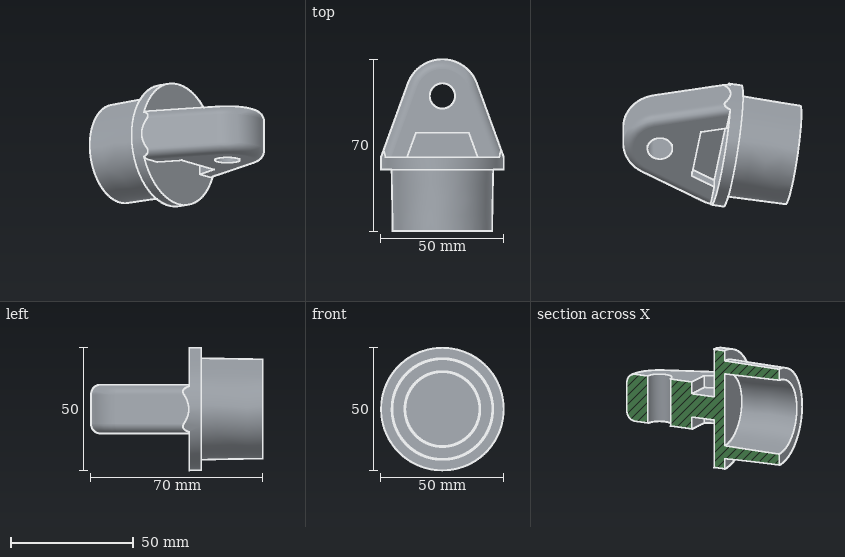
import cadquery as cq
import math

flange_diameter = 50.0
flange_thickness = 5.0

spigot_length = 25.0
spigot_root_diameter = 41.5
bore_floor_diameter = 30.1
bore_depth = spigot_length
draft_angle = math.radians(1.0)

lug_thickness = 20.0
lug_tip_radius = 15.0
lug_eye_height = 25.0
lug_eye_diameter = 10.2
lug_side_angle = math.radians(20.0)
lug_fillet = 4.0

recess_inset = 10.0
recess_height = 10.0
recess_depth = 5.0

flange_radius = flange_diameter / 2
spigot_end_y = -flange_thickness - spigot_length
spigot_root_radius = spigot_root_diameter / 2
spigot_end_radius = spigot_root_radius - spigot_length * math.tan(draft_angle)
bore_floor_y = spigot_end_y + bore_depth
bore_floor_radius = bore_floor_diameter / 2
bore_mouth_radius = bore_floor_radius + bore_depth * math.tan(draft_angle)
tangent_x = lug_tip_radius * math.cos(lug_side_angle)
tangent_y = lug_eye_height + lug_tip_radius * math.sin(lug_side_angle)


def lug_half_width(y):
    """Half the lug width at height y on its straight tapered sides."""
    return tangent_x + (tangent_y - y) * math.tan(lug_side_angle)


def recess_half_width(y):
    """Half the recess width at height y, inset square to the lug side."""
    return lug_half_width(y) - recess_inset / math.cos(lug_side_angle)


def make_plug():
    """Flange and hollow spigot, turned about the Y axis."""
    return (
        cq.Workplane("YZ")
        .moveTo(0, 0)
        .lineTo(0, flange_radius)
        .lineTo(-flange_thickness, flange_radius)
        .lineTo(-flange_thickness, spigot_root_radius)
        .lineTo(spigot_end_y, spigot_end_radius)
        .lineTo(spigot_end_y, bore_mouth_radius)
        .lineTo(bore_floor_y, bore_floor_radius)
        .lineTo(bore_floor_y, 0)
        .close()
        .revolve(360, (0, 0, 0), (1, 0, 0))
    )


def make_lug_blank():
    """Tapered tongue with filleted rims, running down through the flange."""
    base_y = -flange_thickness
    base_half_width = lug_half_width(base_y)
    blank = (
        cq.Workplane("XY")
        .moveTo(-base_half_width, base_y)
        .lineTo(-tangent_x, tangent_y)
        .threePointArc((0, lug_eye_height + lug_tip_radius), (tangent_x, tangent_y))
        .lineTo(base_half_width, base_y)
        .close()
        .extrude(lug_thickness / 2, both=True)
    )
    rims = blank.faces("|Z").edges("not(<Y)")
    return rims.fillet(lug_fillet)


def trim_to_flange(lug):
    """Keep the part of the lug above the flange and inside its diameter."""
    envelope_height = lug_eye_height + lug_tip_radius
    envelope = cq.Workplane("XZ").circle(flange_radius).extrude(-envelope_height)
    return lug.intersect(envelope)


def make_recess(side):
    """Trapezoidal recess cutter for the lug face on the +Z (1) or -Z (-1) side."""
    floor_z = side * (lug_thickness / 2 - recess_depth)
    return (
        cq.Workplane("XY", origin=(0, 0, floor_z))
        .moveTo(-recess_half_width(0), 0)
        .lineTo(-recess_half_width(recess_height), recess_height)
        .lineTo(recess_half_width(recess_height), recess_height)
        .lineTo(recess_half_width(0), 0)
        .close()
        .extrude(side * recess_depth)
    )


def make_lug():
    """Finished lug with its eye and a recess in each flat face."""
    lug = trim_to_flange(make_lug_blank())
    eye = (
        cq.Workplane("XY")
        .center(0, lug_eye_height)
        .circle(lug_eye_diameter / 2)
        .extrude(lug_thickness / 2, both=True)
    )
    lug = lug.cut(eye)
    for side in (1, -1):
        lug = lug.cut(make_recess(side))
    return lug


result = make_plug().union(make_lug())